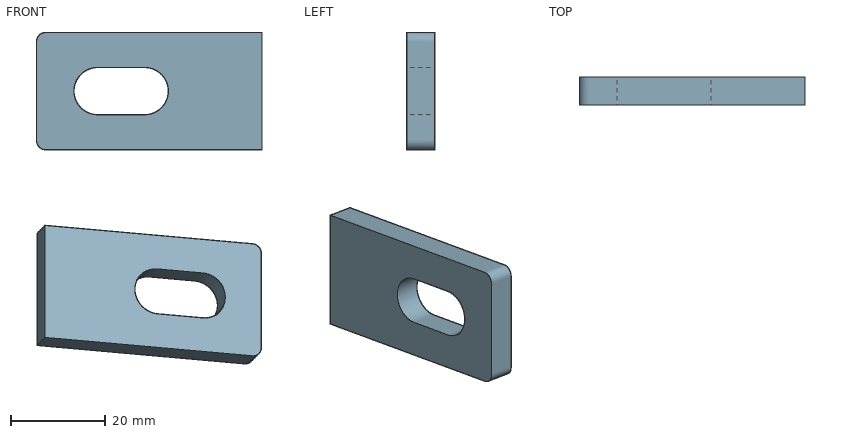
import cadquery as cq

length = 48.0
thickness = 6.0
height = 25.0
corner_radius = 2.0

slot_length = 20.0
slot_width = 10.0
slot_end_margin = 8.0
slot_center_x = -length / 2 + slot_end_margin + slot_length / 2

plate = cq.Workplane("XY").box(length, thickness, height)
plate = plate.edges("|Y and <X").fillet(corner_radius)

slot = (
    cq.Workplane("XZ")
    .center(slot_center_x, 0)
    .slot2D(slot_length, slot_width)
    .extrude(thickness, both=True)
)

result = plate.cut(slot)